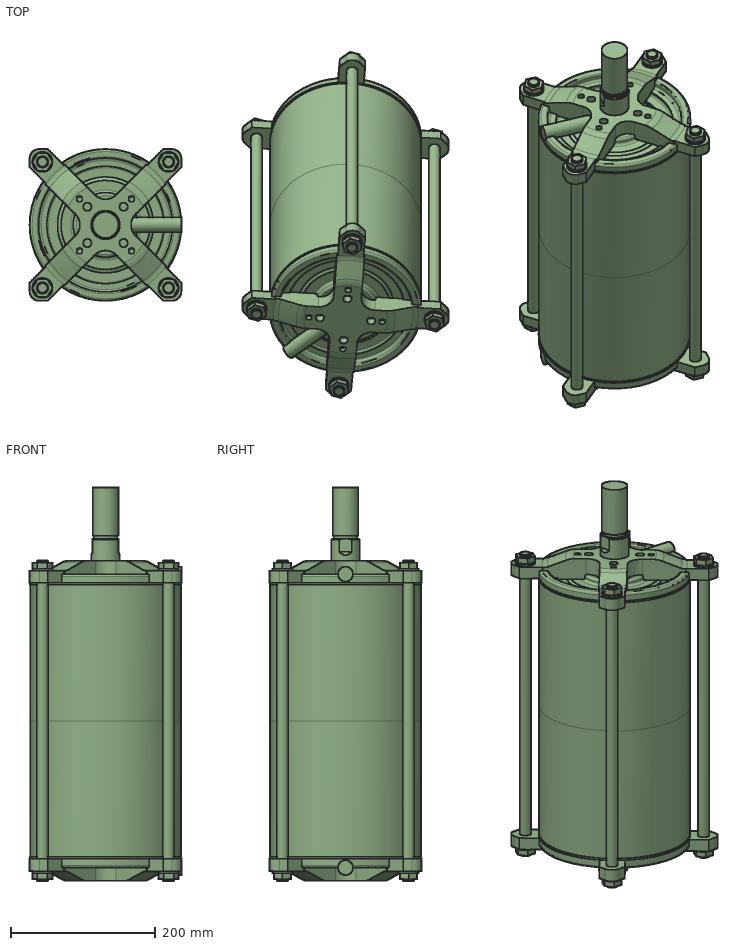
import cadquery as cq
import math

total_height = 547.0
tie_rod_length = 445.5
middle_z = tie_rod_length / 2
spider_top_z = tie_rod_length - 0.5
lug_thickness = 17.0
lug_top_z = tie_rod_length - 14.0
tube_end_z = lug_top_z - lug_thickness

overall_width = 211.0
tube_diameter = 210.0
tube_collar_diameter = 210.5
tube_collar_height = 3.0
cap_diameter = overall_width
cap_rim_z = tube_end_z + 12.0
cap_rim_fillet = 3.5
cap_root_z = tube_end_z - 8.0

recess_radius = 93.0
recess_rim_fillet = 2.0
recess_foot_fillet = 3.5
ledge_z = tube_end_z + 2.0
trough_radius = 163.0 / 2
trough_fillet = 1.9
trough_z = tube_end_z - 3.5
plateau_foot_radius = 66.5
plateau_radius = 62.0
plateau_z = trough_z + 2.0
hub_radius = 45.0
hub_fillet = 4.0
hub_z = plateau_z + 9.0

lug_corner_radius = 13.5
lug_width = 35.5
arm_width = 38.5
arm_shoulder_radius = 101.0
arm_web_radius = 20.0
slope_start_radius = 63.5
slope_end_radius = 97.05
slope_top_fillet = 27.5
slope_foot_fillet = 19.5

plain_hole_diameter = 11.5
plain_hole_offset = 25.0
plain_hole_depth = 13.5
drilled_hole_diameter = 8.0
drilled_hole_offset = 36.0
drilled_hole_depth = 8.0
drill_point_angle = 118

tie_rod_diameter = 16.0
tie_rod_chamfer = 1.0
tie_rod_offset = 87.5
washer_diameter = 28.0
washer_thickness = 3.0
nut_corner_diameter = 28.0
nut_height = 8.0

pipe_diameter = 21.0
pipe_z = cap_rim_z
pipe_start_x = 27.5

rod_diameter = 36.0
rod_shoulder_diameter = 40.0
rod_shoulder_z = 475.5
rod_shoulder_chamfer = 1.5
rod_neck_diameter = 33.0
rod_neck_height = 4.5
rod_foot_z = tube_end_z
rod_flat_distance = rod_diameter
rod_flat_end_z = 457.5
rod_flat_runout_z = 453.0


def four_corners(offset):
    return [(x * offset, y * offset) for x in (-1, 1) for y in (-1, 1)]


def revolve_profile(profile):
    return profile.close().revolve(360, (0, 0, 0), (0, 1, 0))


def make_tube():
    radius = tube_diameter / 2
    collar_radius = tube_collar_diameter / 2
    collar_z = tube_end_z - tube_collar_height
    return revolve_profile(
        cq.Workplane("XZ")
        .moveTo(0, middle_z)
        .lineTo(radius, middle_z)
        .lineTo(radius, collar_z)
        .lineTo(collar_radius, collar_z)
        .lineTo(collar_radius, tube_end_z)
        .lineTo(recess_radius, tube_end_z)
        .lineTo(recess_radius, cap_root_z)
        .lineTo(0, cap_root_z)
    )


def make_cap():
    radius = cap_diameter / 2
    return revolve_profile(
        cq.Workplane("XZ")
        .moveTo(0, cap_root_z)
        .lineTo(recess_radius, cap_root_z)
        .lineTo(recess_radius, tube_end_z)
        .lineTo(radius, tube_end_z)
        .lineTo(radius, cap_rim_z - cap_rim_fillet)
        .radiusArc((radius - cap_rim_fillet, cap_rim_z), -cap_rim_fillet)
        .lineTo(recess_radius + recess_rim_fillet, cap_rim_z)
        .radiusArc((recess_radius, cap_rim_z - recess_rim_fillet), -recess_rim_fillet)
        .lineTo(recess_radius, ledge_z + recess_foot_fillet)
        .radiusArc((recess_radius - recess_foot_fillet, ledge_z), recess_foot_fillet)
        .lineTo(trough_radius, ledge_z)
        .lineTo(trough_radius, trough_z + trough_fillet)
        .radiusArc((trough_radius - trough_fillet, trough_z), trough_fillet)
        .lineTo(plateau_foot_radius, trough_z)
        .lineTo(plateau_radius, plateau_z)
        .lineTo(hub_radius + hub_fillet, plateau_z)
        .radiusArc((hub_radius, plateau_z + hub_fillet), hub_fillet)
        .lineTo(hub_radius, hub_z - hub_fillet)
        .radiusArc((hub_radius - hub_fillet, hub_z), -hub_fillet)
        .lineTo(0, hub_z)
    )


def make_spider():
    height = spider_top_z - tube_end_z
    base = cq.Workplane("XY", origin=(0, 0, tube_end_z))

    def cross(width):
        length = 2 * overall_width
        bar = base.rect(length, width).extrude(height)
        return bar.union(base.rect(width, length).extrude(height))

    web_corners = cq.selectors.BoxSelector((-arm_width, -arm_width, 0), (arm_width, arm_width, total_height))
    wide_arms = cross(arm_width).edges("|Z").edges(web_corners).fillet(arm_web_radius)
    wide_arms = wide_arms.intersect(base.circle(arm_shoulder_radius).extrude(height))
    arms = wide_arms.union(cross(lug_width)).rotate((0, 0, 0), (0, 0, 1), 45)

    outline = base.rect(overall_width, overall_width).extrude(height)
    outline = outline.edges("|Z").fillet(lug_corner_radius)

    crown = revolve_profile(
        cq.Workplane("XZ")
        .moveTo(0, tube_end_z)
        .lineTo(overall_width, tube_end_z)
        .lineTo(overall_width, lug_top_z)
        .lineTo(slope_end_radius, lug_top_z)
        .lineTo(slope_start_radius, spider_top_z)
        .lineTo(0, spider_top_z)
    )
    crown = crown.edges(cq.selectors.RadiusNthSelector(1)).fillet(slope_foot_fillet)
    crown = crown.faces(">Z").edges().fillet(slope_top_fillet)

    return arms.intersect(outline).intersect(crown)


def make_spider_holes():
    top = cq.Workplane("XY", origin=(0, 0, spider_top_z))
    plain = (
        top.pushPoints(four_corners(plain_hole_offset))
        .circle(plain_hole_diameter / 2)
        .extrude(-plain_hole_depth)
    )
    radius = drilled_hole_diameter / 2
    point_height = radius / math.tan(math.radians(drill_point_angle / 2))
    drill = revolve_profile(
        cq.Workplane("XZ")
        .lineTo(radius, 0)
        .lineTo(radius, -drilled_hole_depth)
        .lineTo(0, -drilled_hole_depth - point_height)
    )
    holes = plain
    for x, y in four_corners(drilled_hole_offset):
        holes = holes.union(drill.translate((x, y, spider_top_z)))
    return holes


def make_nuts():
    places = four_corners(tie_rod_offset)
    seat = cq.Workplane("XY", origin=(0, 0, lug_top_z)).pushPoints(places)
    washers = seat.circle(washer_diameter / 2).extrude(washer_thickness)
    nuts = seat.polygon(6, nut_corner_diameter).extrude(washer_thickness + nut_height)
    return washers.union(nuts)


def make_pipe():
    length = overall_width / 2 - pipe_start_x
    return (
        cq.Workplane("YZ", origin=(pipe_start_x, 0, pipe_z))
        .circle(pipe_diameter / 2)
        .extrude(length)
    )


def make_upper_half():
    spider = make_spider().cut(make_spider_holes())
    return make_tube().union(make_cap()).union(spider).union(make_nuts()).union(make_pipe())


def make_tie_rods():
    rods = cq.Workplane("XY").pushPoints(four_corners(tie_rod_offset))
    rods = rods.circle(tie_rod_diameter / 2).extrude(tie_rod_length)
    return rods.edges("%CIRCLE").chamfer(tie_rod_chamfer)


def make_rod_bore():
    bore = cq.Workplane("XY", origin=(0, 0, rod_foot_z)).circle(rod_shoulder_diameter / 2)
    return bore.extrude(total_height - rod_foot_z)


def make_cylinder():
    upper = make_upper_half()
    lower = upper.mirror("XY", (0, 0, middle_z))
    return upper.union(lower).union(make_tie_rods()).cut(make_rod_bore())


def make_rod():
    radius = rod_diameter / 2
    shoulder_radius = rod_shoulder_diameter / 2
    neck_radius = rod_neck_diameter / 2
    neck_top_z = rod_shoulder_z + rod_neck_height
    rod = revolve_profile(
        cq.Workplane("XZ")
        .moveTo(0, rod_foot_z)
        .lineTo(shoulder_radius, rod_foot_z)
        .lineTo(shoulder_radius, rod_shoulder_z - rod_shoulder_chamfer)
        .lineTo(shoulder_radius - rod_shoulder_chamfer, rod_shoulder_z)
        .lineTo(neck_radius, rod_shoulder_z)
        .lineTo(neck_radius, neck_top_z)
        .lineTo(radius, neck_top_z)
        .lineTo(radius, total_height)
        .lineTo(0, total_height)
    )
    flat_x = rod_flat_distance / 2
    flat_cut = (
        cq.Workplane("XZ", origin=(0, shoulder_radius, 0))
        .moveTo(flat_x, rod_shoulder_z)
        .lineTo(flat_x, rod_flat_end_z)
        .lineTo(shoulder_radius, rod_flat_runout_z)
        .lineTo(shoulder_radius, rod_shoulder_z)
        .close()
        .extrude(rod_shoulder_diameter)
    )
    return rod.cut(flat_cut).cut(flat_cut.mirror("YZ"))


cylinder = make_cylinder()
rod = make_rod()

result = cq.Compound.makeCompound([cylinder.val(), rod.val()])